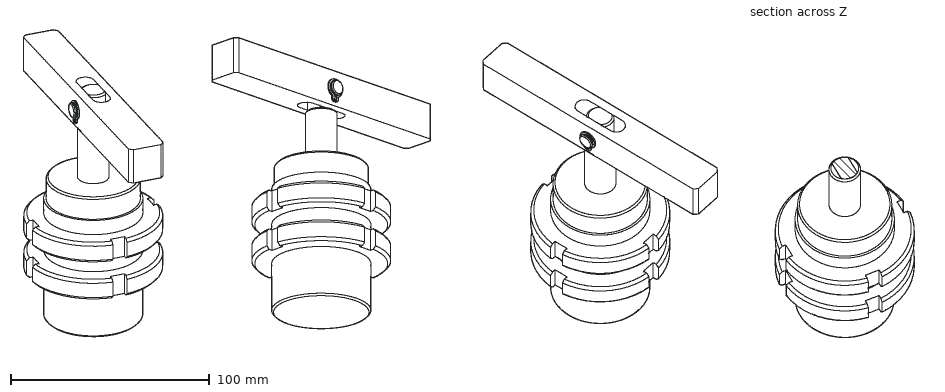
import cadquery as cq

bar_length = 140.0
bar_width = 19.0
bar_height = 18.8
bar_corner_chamfer = 2.0
overall_height = 127.0
bar_bottom = overall_height - bar_height
slot_length = 30.0
slot_width = 9.1

pin_diameter = 8.0
pin_length = 24.1
pin_chamfer = 0.5
groove_diameter = 7.5
groove_width = 1.1
pin_height = bar_bottom + bar_height / 2
ring_diameter = 9.7
ring_thickness = 0.7
ring_gap = 1.0
ear_radius = 2.2
ear_drop = 5.2
ear_hole_diameter = 2.2

housing_diameter = 50.0
housing_step_height = 66.0
cap_diameter = 47.5
housing_height = 78.1
edge_chamfer = 1.0

rod_diameter = 16.0
rod_shoulder_height = 107.4
tongue_diameter = rod_diameter - 2 * edge_chamfer
tongue_top = overall_height

nut_diameter = 70.0
nut_height = 11.0
nut_chamfer = 1.5
nut_bottoms = (26.0, 46.9)
nut_slot_width = 7.7
nut_slot_floor_radius = 31.2
nut_slot_angles = (0, 90, 180, 270)


def cylinder_z(diameter, bottom, top):
    """Upright cylinder on the Z axis."""
    return cq.Workplane("XY").workplane(offset=bottom).circle(diameter / 2).extrude(top - bottom)


def cylinder_y(diameter, length):
    """Cross cylinder along Y, centred on the pin axis."""
    return (
        cq.Workplane("XZ")
        .center(0, pin_height)
        .circle(diameter / 2)
        .extrude(length / 2, both=True)
    )


def make_housing():
    """Cylindrical body with a narrower cap."""
    body = cylinder_z(housing_diameter, 0, housing_step_height).faces("<Z").chamfer(edge_chamfer)
    cap = cylinder_z(cap_diameter, housing_step_height, housing_height).faces(">Z").chamfer(edge_chamfer)
    return body.union(cap)


def make_nut(bottom):
    """Ring nut around the housing with four wrench slots in its rim."""
    nut = cylinder_z(nut_diameter, bottom, bottom + nut_height).faces("<Z or >Z").chamfer(nut_chamfer)
    nut = nut.cut(cylinder_z(housing_diameter, bottom, bottom + nut_height))
    slot_depth = nut_diameter / 2 - nut_slot_floor_radius
    slot = (
        cq.Workplane("XY")
        .box(slot_depth, nut_slot_width, nut_height, centered=(False, True, False))
        .translate((nut_slot_floor_radius, 0, bottom))
    )
    for angle in nut_slot_angles:
        nut = nut.cut(slot.rotate((0, 0, 0), (0, 0, 1), angle))
    return nut


def make_rod():
    """Round rod standing on the housing, with a flat-sided tongue that fills the bar slot's width."""
    shaft = cylinder_z(rod_diameter, housing_height, rod_shoulder_height).faces(">Z").chamfer(edge_chamfer)
    tongue = cylinder_z(tongue_diameter, rod_shoulder_height, tongue_top).faces(">Z").chamfer(edge_chamfer)
    flats = (
        cq.Workplane("XY")
        .box(rod_diameter, slot_width, tongue_top - rod_shoulder_height, centered=(True, True, False))
        .translate((0, 0, rod_shoulder_height))
    )
    return shaft.union(tongue.intersect(flats)).cut(cylinder_y(pin_diameter, bar_width))


def make_bar():
    """Rectangular bar with chamfered upright corners, a through slot and a cross hole."""
    bar = (
        cq.Workplane("XY")
        .box(bar_length, bar_width, bar_height, centered=(True, True, False))
        .edges("|Z")
        .chamfer(bar_corner_chamfer)
        .faces(">Z")
        .workplane()
        .slot2D(slot_length, slot_width)
        .cutThruAll()
        .translate((0, 0, bar_bottom))
    )
    return bar.cut(cylinder_y(pin_diameter, bar_width))


def make_pin():
    """Cross pin with chamfered ends and a ring groove just outside each side of the bar."""
    plain_pin = cylinder_y(pin_diameter, pin_length).faces("<Y or >Y").chamfer(pin_chamfer)
    groove_span = bar_width + 2 * groove_width
    grooves = cylinder_y(pin_diameter, groove_span).cut(cylinder_y(pin_diameter, bar_width))
    grooves = grooves.cut(cylinder_y(groove_diameter, groove_span))
    return plain_pin.cut(grooves)


def make_retaining_ring(inner_face):
    """Open ring in a pin groove, its ears pointing down; it extends toward -Y from inner_face."""
    ring_plane = cq.Workplane("XZ", origin=(0, inner_face, pin_height))
    ring = ring_plane.circle(ring_diameter / 2).extrude(ring_thickness)
    ears = ring_plane.center(0, -ear_drop).circle(ear_radius).extrude(ring_thickness)
    bore = ring_plane.circle(groove_diameter / 2).extrude(ring_thickness)
    ear_hole = ring_plane.center(0, -ear_drop).circle(ear_hole_diameter / 2).extrude(ring_thickness)
    gap_length = ear_drop + ear_radius
    gap = ring_plane.center(0, -gap_length / 2).rect(ring_gap, gap_length).extrude(ring_thickness)
    return ring.union(ears).cut(bore).cut(ear_hole).cut(gap)


housing = make_housing()
nuts = [make_nut(bottom) for bottom in nut_bottoms]
rod = make_rod()
bar = make_bar()
pin = make_pin()
ring_inner_faces = (-bar_width / 2, bar_width / 2 + ring_thickness)
retaining_rings = [make_retaining_ring(inner_face) for inner_face in ring_inner_faces]

result = cq.Compound.makeCompound([
    housing.val(),
    *[nut.val() for nut in nuts],
    rod.val(),
    bar.val(),
    pin.val(),
    *[ring.val() for ring in retaining_rings],
])